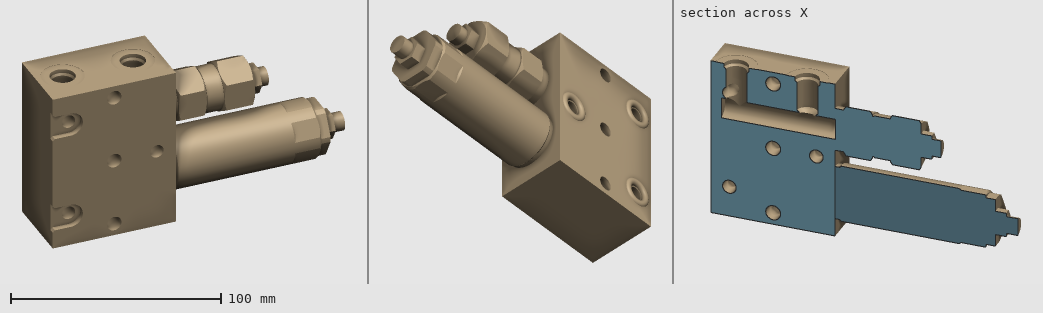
import cadquery as cq
import math

OVERALL_LENGTH = 157.2

BLOCK_WIDTH = 37.6
BLOCK_LENGTH = 63.7
BLOCK_HEIGHT = 82.5
BLOCK_TOP = BLOCK_HEIGHT / 2
BLOCK_LEFT = -BLOCK_WIDTH / 2
BLOCK_RIGHT = BLOCK_WIDTH / 2

VALVE_X = 0.2

MOUNT_HOLE_DIAMETER = 7.4
MOUNT_HOLE_SPACING = 34.9

PASSAGE_DIAMETER = 6.8
PASSAGE_REAR_Y = -9.7
PASSAGE_FRONT_Y = -54.3
PASSAGE_FRONT_Z = 25.3
FRONT_PASSAGES = [(PASSAGE_FRONT_Y, PASSAGE_FRONT_Z), (PASSAGE_FRONT_Y, -PASSAGE_FRONT_Z)]
ALL_PASSAGES = [(PASSAGE_REAR_Y, 0), *FRONT_PASSAGES]
RING_OUTER_RADIUS = 8.2
RING_TUBE_RADIUS = 2.0
RING_RADIUS = RING_OUTER_RADIUS - RING_TUBE_RADIUS
RING_PROTRUSION = 1.0
RING_CENTRE_X = BLOCK_LEFT - RING_PROTRUSION + RING_TUBE_RADIUS

SLOT_DEPTH = 3.0
SLOT_RADIUS = 6.1
SLOT_MOUTH_CHAMFER = 1.1

PORT_REAR_Y = -14.3
PORT_FRONT_Y = -50.6
PORT_RADIUS = 5.3
PORT_MOUTH_RADIUS = 6.3
PORT_MOUTH_DEPTH = 2.2
SPOTFACE_RADIUS = 10.5
SPOTFACE_DEPTH = 0.2
REAR_PORT_DEPTH = 18.1
DRILL_POINT_HALF_ANGLE = 59

GALLERY_RADIUS = 5.3
GALLERY_END_Y = -58.2

STUD_RADIUS = 4.7
LOCKNUT_FLATS = 12.9
LOCKNUT_LENGTH = 5.5

SHORT_Z = 16.7
SHORT_BARREL_RADIUS = 11.5
SHORT_GROOVE_RADIUS = 11.0
SHORT_GROOVE_WIDTH = 0.5
SHORT_HEX_FLATS = 23.9
SHORT_HEX_CHAMFER_LENGTH = 1.3
SHORT_HEX_CHAMFER_HEIGHT = 2.0
INNER_HEX_START = 4.2
INNER_HEX_END = 19.0
OUTER_HEX_START = 28.0
OUTER_HEX_END = 44.0
SHORT_TIP = 54.1

LONG_Z = -17.6
LONG_NECK_RADIUS = 14.3
LONG_NECK_LENGTH = 2.0
LONG_BARREL_RADIUS = 15.1
LONG_BARREL_END = 77.2
LONG_BARREL_CHAMFER = 1.0
LONG_TIP = OVERALL_LENGTH - BLOCK_LENGTH
WRENCH_FLATS = 28.6
WRENCH_START = 63.4
WRENCH_RUNOUT = 1.0
CAP_FLATS = 25.5
CAP_RADIUS = 14.0
CAP_END = 82.1


def rod(radius, start, end, z):
    """Cylinder along Y between two Y positions, centred on the valve X."""
    direction = cq.Vector(0, 1, 0)
    return cq.Workplane(cq.Solid.makeCylinder(radius, end - start, cq.Vector(VALVE_X, start, z), direction))


def hex_bar(across_flats, start, end, z, corners_up):
    """Hexagonal bar along Y with its corners at +Z and -Z, or at +X and -X."""
    turn = 90 if corners_up else 0
    corner_diameter = across_flats / math.cos(math.radians(30))
    bar = cq.Workplane("XZ").polygon(6, corner_diameter).extrude(start - end)
    return bar.rotate((0, 0, 0), (0, 1, 0), turn).translate((VALVE_X, start, z))


def short_hex(start, end):
    """Hexagonal nut with corners up, its corners turned off by a cone at both ends."""
    corner_radius = SHORT_HEX_FLATS / 2 / math.cos(math.radians(30))
    turned = rod(corner_radius, start, end, SHORT_Z).faces("<Y or >Y")
    turned = turned.chamfer(SHORT_HEX_CHAMFER_LENGTH, SHORT_HEX_CHAMFER_HEIGHT)
    return hex_bar(SHORT_HEX_FLATS, start, end, SHORT_Z, True).intersect(turned)


def adjuster(start, tip, z):
    """Locknut and the end of the adjusting stud."""
    locknut_end = start + LOCKNUT_LENGTH
    locknut = hex_bar(LOCKNUT_FLATS, start, locknut_end, z, False)
    return locknut.union(rod(STUD_RADIUS, locknut_end, tip, z))


def x_cylinder(radius, start_x, end_x, centre):
    y, z = centre
    origin = cq.Vector(start_x, y, z)
    return cq.Workplane(cq.Solid.makeCylinder(radius, end_x - start_x, origin, cq.Vector(1, 0, 0)))


def port(y, depth):
    """Port drilling from the top face: spotface, wider mouth, bore and drill point."""
    point_height = PORT_RADIUS / math.tan(math.radians(DRILL_POINT_HALF_ANGLE))
    spotface_z = BLOCK_TOP - SPOTFACE_DEPTH
    mouth_z = BLOCK_TOP - PORT_MOUTH_DEPTH
    bore_start_z = mouth_z - (PORT_MOUTH_RADIUS - PORT_RADIUS)
    bore_end_z = BLOCK_TOP - depth
    profile = [
        (0, BLOCK_TOP),
        (SPOTFACE_RADIUS, BLOCK_TOP),
        (SPOTFACE_RADIUS, spotface_z),
        (PORT_MOUTH_RADIUS, spotface_z),
        (PORT_MOUTH_RADIUS, mouth_z),
        (PORT_RADIUS, bore_start_z),
        (PORT_RADIUS, bore_end_z),
        (0, bore_end_z - point_height),
    ]
    return cq.Workplane("XZ").polyline(profile).close().revolve(360, (0, 0), (0, 1)).translate((VALVE_X, y, 0))


def slot(y, z):
    """Round-ended slot on the right face with a mouth that widens at the front face."""
    front_y = -BLOCK_LENGTH
    mouth = SLOT_RADIUS + SLOT_MOUTH_CHAMFER
    throat_y = front_y + SLOT_MOUTH_CHAMFER
    return (
        cq.Workplane("YZ", origin=(BLOCK_RIGHT - SLOT_DEPTH, 0, 0))
        .moveTo(front_y, z - mouth)
        .lineTo(throat_y, z - SLOT_RADIUS)
        .lineTo(y, z - SLOT_RADIUS)
        .threePointArc((y + SLOT_RADIUS, z), (y, z + SLOT_RADIUS))
        .lineTo(throat_y, z + SLOT_RADIUS)
        .lineTo(front_y, z + mouth)
        .close()
        .extrude(SLOT_DEPTH)
    )


def seal_ring(centre):
    y, z = centre
    axis = cq.Vector(1, 0, 0)
    return cq.Workplane(cq.Solid.makeTorus(RING_RADIUS, RING_TUBE_RADIUS, cq.Vector(RING_CENTRE_X, y, z), axis))


def short_cartridge():
    groove_end = INNER_HEX_END + SHORT_GROOVE_WIDTH
    body = rod(SHORT_BARREL_RADIUS, 0, INNER_HEX_START, SHORT_Z)
    body = body.union(rod(SHORT_GROOVE_RADIUS, INNER_HEX_END, groove_end, SHORT_Z))
    body = body.union(rod(SHORT_BARREL_RADIUS, groove_end, OUTER_HEX_START, SHORT_Z))
    for start, end in [(INNER_HEX_START, INNER_HEX_END), (OUTER_HEX_START, OUTER_HEX_END)]:
        body = body.union(short_hex(start, end))
    return body.union(adjuster(OUTER_HEX_END, SHORT_TIP, SHORT_Z))


def make_valve_block():
    """Block with its seal rings and the short cartridge."""
    block = cq.Workplane("XY").box(BLOCK_WIDTH, BLOCK_LENGTH, BLOCK_HEIGHT)
    block = block.translate((0, -BLOCK_LENGTH / 2, 0))

    for z in (-MOUNT_HOLE_SPACING, 0, MOUNT_HOLE_SPACING):
        centre = (-BLOCK_LENGTH / 2, z)
        block = block.cut(x_cylinder(MOUNT_HOLE_DIAMETER / 2, BLOCK_LEFT, BLOCK_RIGHT, centre))

    for centre in ALL_PASSAGES:
        block = block.cut(x_cylinder(RING_RADIUS, BLOCK_LEFT, RING_CENTRE_X, centre))
        block = block.union(seal_ring(centre))
        block = block.cut(x_cylinder(PASSAGE_DIAMETER / 2, BLOCK_LEFT - RING_PROTRUSION, BLOCK_RIGHT, centre))

    for y, z in FRONT_PASSAGES:
        block = block.cut(slot(y, z))

    block = block.cut(rod(GALLERY_RADIUS, GALLERY_END_Y, 0, SHORT_Z))
    block = block.cut(port(PORT_REAR_Y, REAR_PORT_DEPTH))
    block = block.cut(port(PORT_FRONT_Y, BLOCK_TOP - SHORT_Z))
    return block.union(short_cartridge())


def make_long_cartridge():
    """Cartridge that seats flat against the rear face of the block."""
    neck = rod(LONG_NECK_RADIUS, 0, LONG_NECK_LENGTH, LONG_Z)
    barrel = rod(LONG_BARREL_RADIUS, LONG_NECK_LENGTH, LONG_BARREL_END, LONG_Z)
    barrel = barrel.faces("<Y or >Y").chamfer(LONG_BARREL_CHAMFER)

    wrench_stock = rod(LONG_BARREL_RADIUS, WRENCH_START, LONG_BARREL_END, LONG_Z)
    wrench_hex = hex_bar(WRENCH_FLATS, WRENCH_START, LONG_BARREL_END, LONG_Z, False)
    runout = cq.Solid.makeCone(
        LONG_BARREL_RADIUS,
        WRENCH_FLATS / 2,
        WRENCH_RUNOUT,
        cq.Vector(VALVE_X, WRENCH_START, LONG_Z),
        cq.Vector(0, 1, 0),
    )
    barrel = barrel.cut(wrench_stock.cut(wrench_hex).cut(cq.Workplane(runout)))

    cap_round = rod(CAP_RADIUS, LONG_BARREL_END, CAP_END, LONG_Z)
    cap = cap_round.intersect(hex_bar(CAP_FLATS, LONG_BARREL_END, CAP_END, LONG_Z, False))
    return neck.union(barrel).union(cap).union(adjuster(CAP_END, LONG_TIP, LONG_Z))


valve_block = make_valve_block()
long_cartridge = make_long_cartridge()

result = cq.Compound.makeCompound([valve_block.val(), long_cartridge.val()])